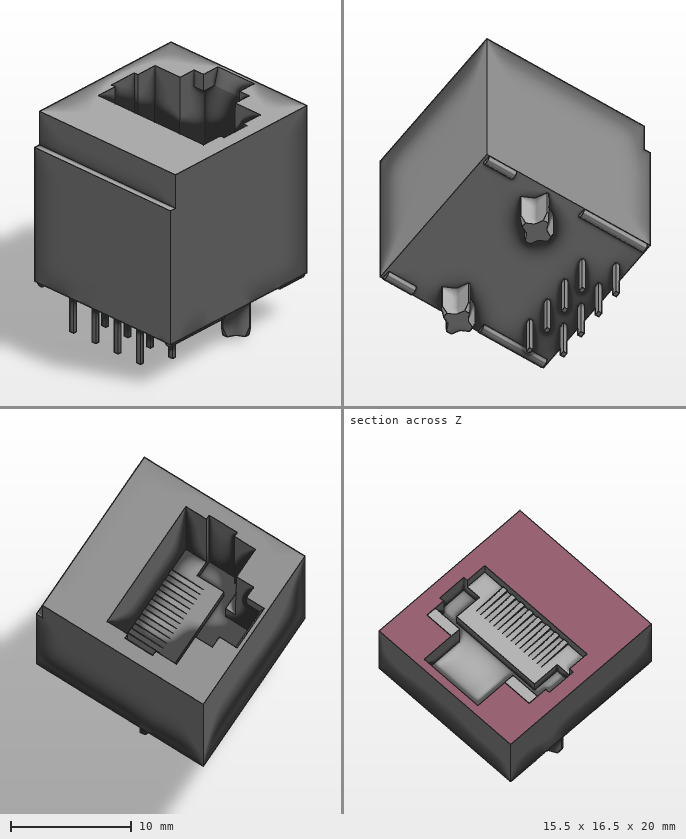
import cadquery as cq
import math


WIDTH = 15.5
DEPTH = 16.51
OVERALL_HEIGHT = 19.99
PIN_LENGTH = 4.0
HEIGHT = OVERALL_HEIGHT - PIN_LENGTH
REBATE_DEPTH = 0.6
REBATE_HEIGHT = 3.2

CAVITY_FLOOR = 4.0
COMB_HEIGHT = 1.0
LEDGE_HEIGHT = 2.0
CAVITY_WIDTH = 12.0
CAVITY_FRONT = -2.4
CAVITY_BACK = 4.48
LEDGE_FRONT = 3.38
BACK_DRAFT = 0.14
GUIDE_WIDTH = 12.83
GUIDE_FRONT = -0.35
GUIDE_BACK = 2.4
COMB_WIDTH = 9.15
COMB_BACK = 2.3

LATCH_WIDTH = 6.28
LATCH_SHOULDER = 6.15
LATCH_BACK = 7.5
KEY_WIDTH = 4.12
KEY_RIM_BACK = 7.92
LIP_HEIGHT = 1.6

CONTACT_COUNT = 8
CONTACT_PITCH = 1.02
CONTACT_WIDTH = 0.5
CONTACT_BACK = 0.74
CONTACT_RISE = 0.22

PIN_WIDTH = 0.45
PIN_THICKNESS = 0.35
ROW_SPACING = 2.54
PIN_PITCH = ROW_SPACING / 2

PEG_SPACING = 11.41
PEG_Y = 1.8
PEG_LENGTH = 3.6
PEG_RADIUS = 1.64
PEG_END_RADIUS = 1.32
PEG_TAPER = 0.92
PEG_TIP_HALF_WIDTH = 0.08
PEG_NOTCH_NEAR = 0.52
PEG_NOTCH_FAR = 0.75
PEG_NOTCH_MIDDLE = 0.62
PEG_TO_ROW = 6.35

RAIL_RADIUS = 0.44
RAIL_INSET = 0.45
RAIL_SPANS = [(-8.0, -1.62), (5.22, 8.0)]

EMBED = 0.2


def block(x_center, x_size, y_min, y_max, z_min, z_max):
    box = cq.Workplane("XY").box(x_size, y_max - y_min, z_max - z_min, centered=(True, False, False))
    return box.translate((x_center, y_min, z_min))


def side_prism(yz_points, width, x_center=0.0):
    """Extrude a YZ outline along X, centred on x_center."""
    outline = cq.Workplane("YZ").polyline(yz_points).close()
    return outline.extrude(width / 2, both=True).translate((x_center, 0, 0))


def make_housing():
    front = -DEPTH / 2
    body = block(0, WIDTH, front, DEPTH / 2, 0, HEIGHT)
    rebate = block(0, WIDTH, front, front + REBATE_DEPTH, HEIGHT - REBATE_HEIGHT, HEIGHT)
    return body.cut(rebate)


def make_cavity():
    ledge_top = CAVITY_FLOOR + LEDGE_HEIGHT
    lip_bottom = HEIGHT - LIP_HEIGHT

    plug_space = block(0, CAVITY_WIDTH, CAVITY_FRONT, LEDGE_FRONT, CAVITY_FLOOR, HEIGHT)
    above_ledges = side_prism(
        [
            (LEDGE_FRONT, ledge_top),
            (CAVITY_BACK - BACK_DRAFT, ledge_top),
            (CAVITY_BACK, HEIGHT),
            (LEDGE_FRONT, HEIGHT),
        ],
        CAVITY_WIDTH,
    )
    guides = block(0, GUIDE_WIDTH, GUIDE_FRONT, GUIDE_BACK, CAVITY_FLOOR, HEIGHT)
    latch_entry = block(0, LATCH_WIDTH, LEDGE_FRONT, LATCH_SHOULDER, CAVITY_FLOOR, HEIGHT)
    latch_space = block(0, LATCH_WIDTH, LEDGE_FRONT, LATCH_BACK, CAVITY_FLOOR, lip_bottom)
    key_entry = side_prism(
        [
            (LEDGE_FRONT, lip_bottom),
            (LATCH_BACK, lip_bottom),
            (KEY_RIM_BACK, HEIGHT),
            (LEDGE_FRONT, HEIGHT),
        ],
        KEY_WIDTH,
    )
    return plug_space.union(above_ledges).union(guides).union(latch_entry).union(latch_space).union(key_entry)


def make_comb():
    comb_top = CAVITY_FLOOR + COMB_HEIGHT
    comb = block(0, COMB_WIDTH, CAVITY_FRONT, COMB_BACK, CAVITY_FLOOR, comb_top)
    front_step = block(0, CAVITY_WIDTH, CAVITY_FRONT, GUIDE_FRONT, CAVITY_FLOOR, comb_top)
    comb = comb.union(front_step)
    ramp = [
        (CONTACT_BACK, comb_top),
        (CAVITY_FRONT, comb_top + CONTACT_RISE),
        (CAVITY_FRONT, comb_top),
    ]
    for index in range(CONTACT_COUNT):
        x = (index - (CONTACT_COUNT - 1) / 2) * CONTACT_PITCH
        comb = comb.union(side_prism(ramp, CONTACT_WIDTH, x))
    return comb


def make_pin(index):
    """Even pins stand in the front row, odd pins in the rear row."""
    x = (index - (CONTACT_COUNT - 1) / 2) * PIN_PITCH
    rear_row_y = PEG_Y - PEG_TO_ROW
    y = rear_row_y if index % 2 else rear_row_y - ROW_SPACING
    return block(x, PIN_WIDTH, y - PIN_THICKNESS / 2, y + PIN_THICKNESS / 2, -PIN_LENGTH, EMBED)


def quarter_turns(count, x, y):
    """Point (x, y) turned about the origin by count right angles."""
    angle = count * math.pi / 2
    c = math.cos(angle)
    s = math.sin(angle)
    return (x * c - y * s, x * s + y * c)


def make_peg(x):
    """Four-armed star peg whose arms taper at the free end."""
    star = cq.Workplane("XY").workplane(offset=-PEG_LENGTH).moveTo(PEG_NOTCH_FAR, -PEG_NOTCH_NEAR)
    for quarter in range(4):
        star = star.lineTo(*quarter_turns(quarter, PEG_RADIUS, -PEG_TIP_HALF_WIDTH))
        star = star.lineTo(*quarter_turns(quarter, PEG_RADIUS, PEG_TIP_HALF_WIDTH))
        star = star.lineTo(*quarter_turns(quarter, PEG_NOTCH_FAR, PEG_NOTCH_NEAR))
        star = star.threePointArc(
            quarter_turns(quarter, PEG_NOTCH_MIDDLE, PEG_NOTCH_MIDDLE),
            quarter_turns(quarter, PEG_NOTCH_NEAR, PEG_NOTCH_FAR),
        )
    star = star.close().extrude(PEG_LENGTH + EMBED)

    envelope = (
        cq.Workplane("XZ")
        .moveTo(0, -PEG_LENGTH)
        .lineTo(PEG_END_RADIUS, -PEG_LENGTH)
        .lineTo(PEG_RADIUS, PEG_TAPER - PEG_LENGTH)
        .lineTo(PEG_RADIUS, EMBED)
        .lineTo(0, EMBED)
        .close()
        .revolve(360, (0, 0, 0), (0, 1, 0))
    )
    return star.intersect(envelope).translate((x, PEG_Y, 0))


def make_rail(side, y_min, y_max):
    """Half-round rail set just inside the side of the housing."""
    x = side * (WIDTH / 2 - RAIL_INSET)
    profile = (
        cq.Workplane("XZ", origin=(x, y_max, 0))
        .moveTo(-RAIL_RADIUS, EMBED)
        .lineTo(-RAIL_RADIUS, 0)
        .threePointArc((0, -RAIL_RADIUS), (RAIL_RADIUS, 0))
        .lineTo(RAIL_RADIUS, EMBED)
        .close()
    )
    return profile.extrude(y_max - y_min)


result = make_housing().cut(make_cavity()).union(make_comb())

for pin_index in range(CONTACT_COUNT):
    result = result.union(make_pin(pin_index))

for side in (-1, 1):
    result = result.union(make_peg(side * PEG_SPACING / 2))
    for rail_start, rail_end in RAIL_SPANS:
        result = result.union(make_rail(side, rail_start, rail_end))